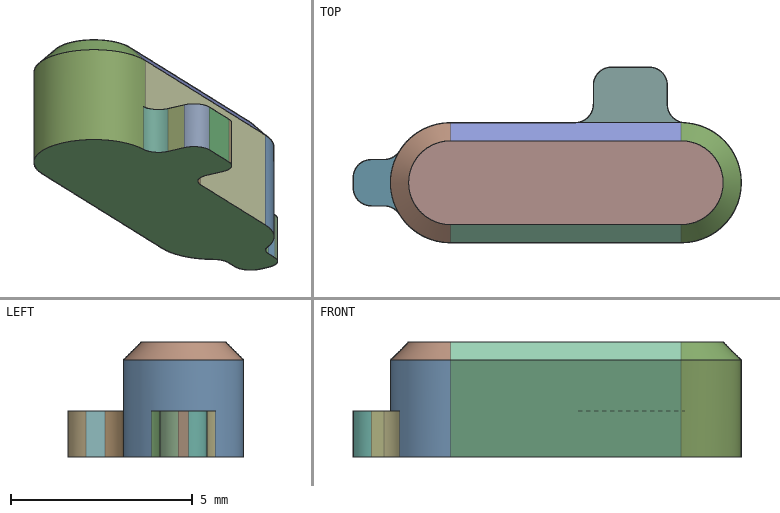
import cadquery as cq
import math

total_length = 10.67
total_width = 4.83
height = 3.17
body_length = 9.65
body_width = 3.31
top_chamfer = 0.5
tab_height = 1.27
tab_radius = 0.5
end_tab_width = 1.28
side_tab_width = 2.04
side_tab_offset = 1.77

end_radius = body_width / 2
end_center_x = (body_length - body_width) / 2
end_tab_tip = total_length - body_length / 2
side_tab_tip = total_width - body_width / 2
fillet_reach = end_radius + tab_radius
diagonal = math.sqrt(0.5)


def make_body():
    """Stadium-shaped block with a chamfered top rim."""
    block = cq.Workplane("XY").slot2D(body_length, body_width).extrude(height)
    return block.faces(">Z").edges().chamfer(top_chamfer)


def make_tab(left, right, tip, left_root, right_root):
    """Tab pointing along +Y, with rounded tip corners and concave root fillets.

    Each root is the point on the body axis nearest to that fillet's tangent point.
    """
    r = tab_radius

    def fillet(center_x, root_x, wall_direction):
        """Center height, arc midpoint and body tangent point of one root fillet."""
        offset = center_x - root_x
        center_y = math.sqrt(fillet_reach**2 - offset**2)
        share = end_radius / fillet_reach
        tangent = (root_x + offset * share, center_y * share)
        toward_x = (tangent[0] - center_x) / r + wall_direction
        toward_y = (tangent[1] - center_y) / r
        length = math.hypot(toward_x, toward_y)
        middle = (center_x + r * toward_x / length, center_y + r * toward_y / length)
        return center_y, middle, tangent

    left_y, left_middle, left_tangent = fillet(left - r, left_root, 1)
    right_y, right_middle, right_tangent = fillet(right + r, right_root, -1)
    corner_inset = r * (1 - diagonal)
    return (
        cq.Workplane("XY")
        .moveTo(left_root, 0)
        .lineTo(*left_tangent)
        .threePointArc(left_middle, (left, left_y))
        .lineTo(left, tip - r)
        .threePointArc((left + corner_inset, tip - corner_inset), (left + r, tip))
        .lineTo(right - r, tip)
        .threePointArc((right - corner_inset, tip - corner_inset), (right, tip - r))
        .lineTo(right, right_y)
        .threePointArc(right_middle, right_tangent)
        .lineTo(right_root, 0)
        .close()
        .extrude(tab_height)
    )


def make_side_tab():
    """Tab on the +Y wall; its +X fillet runs just onto the round end."""
    left = side_tab_offset - side_tab_width / 2
    right = side_tab_offset + side_tab_width / 2
    left_root = left - tab_radius
    right_root = min(right + tab_radius, end_center_x)
    return make_tab(left, right, side_tab_tip, left_root, right_root)


def make_end_tab():
    """Tab on the round -X end, centred on the body axis."""
    half_width = end_tab_width / 2
    tab = make_tab(-half_width, half_width, end_tab_tip - end_center_x, 0, 0)
    return tab.rotate((0, 0, 0), (0, 0, 1), 90).translate((-end_center_x, 0, 0))


result = make_body().union(make_side_tab()).union(make_end_tab())